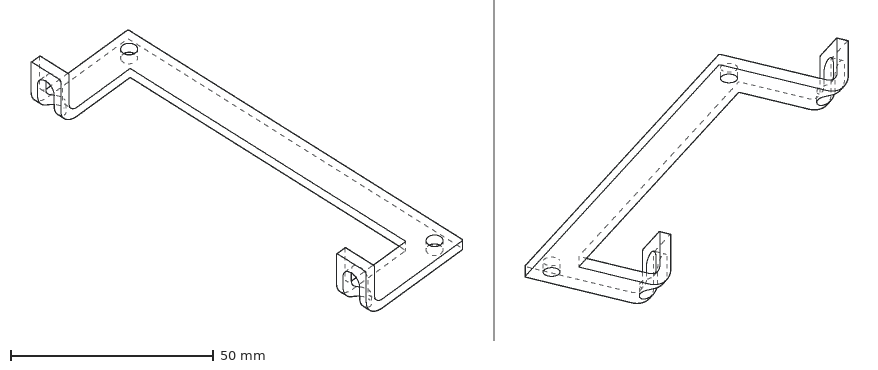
import cadquery as cq

length = 113.0
depth = 35.3
height = 16.0

thickness = 3.0
strip_width = 10.1
inner_bend_radius = 2.9
outer_bend_radius = inner_bend_radius + thickness
corner_radius = 0.5
inner_corner_radius = 0.2

hole_diameter = 4.2
slot_width = 5.5
slot_top = 12.5
slot_radius = slot_width / 2
leg_center_x = (length - strip_width) / 2
hole_y = depth - strip_width / 2


def make_bent_sheet():
    """L-shaped sheet section with a round bend, run along the full length."""
    section = (
        cq.Workplane("YZ")
        .moveTo(depth, 0)
        .lineTo(outer_bend_radius, 0)
        .radiusArc((0, outer_bend_radius), outer_bend_radius)
        .lineTo(0, height)
        .lineTo(thickness, height)
        .lineTo(thickness, outer_bend_radius)
        .radiusArc((outer_bend_radius, thickness), -inner_bend_radius)
        .lineTo(depth, thickness)
        .close()
    )
    return section.extrude(length / 2, both=True)


def make_window():
    """Opening between the two legs, with slightly rounded inner corners at the rear bar."""
    window = cq.Workplane("XY").box(
        length - 2 * strip_width, depth - strip_width, height, centered=(True, False, False)
    )
    return window.faces(">Y").edges("|Z").fillet(inner_corner_radius)


def make_slot(x):
    """Slot through the upright tab that runs down through the bend to a round end."""
    slot_arc_z = slot_top - slot_radius
    floor_arc_y = outer_bend_radius - slot_radius
    upright = (
        cq.Workplane("XY")
        .box(slot_width, floor_arc_y, slot_arc_z, centered=(True, False, False))
    )
    top_end = (
        cq.Workplane("XZ")
        .center(0, slot_arc_z)
        .circle(slot_radius)
        .extrude(-floor_arc_y)
    )
    floor_end = (
        cq.Workplane("XY")
        .center(0, floor_arc_y)
        .circle(slot_radius)
        .extrude(outer_bend_radius)
    )
    return upright.union(top_end).union(floor_end).translate((x, 0, 0))


bracket = make_bent_sheet().cut(make_window())

bracket = bracket.faces(">Y").edges("|Z").fillet(corner_radius)
bracket = bracket.faces(">Z").edges("|Y").fillet(corner_radius)

for leg_x in (-leg_center_x, leg_center_x):
    hole = (
        cq.Workplane("XY")
        .center(leg_x, hole_y)
        .circle(hole_diameter / 2)
        .extrude(thickness)
    )
    bracket = bracket.cut(hole).cut(make_slot(leg_x))

result = bracket